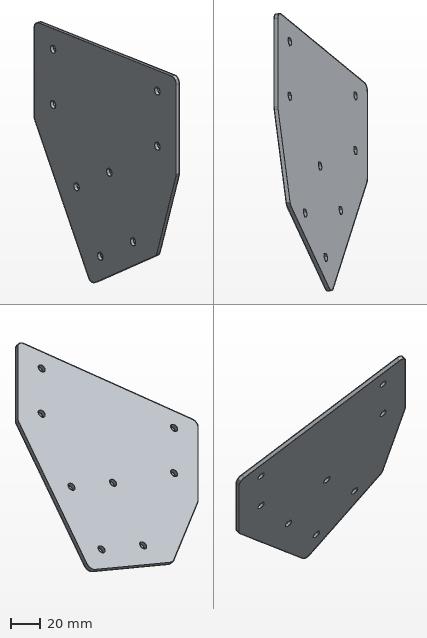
import cadquery as cq
import math

height = 172.1
width = 150.0
thickness = 3.0
corner_radius = 5.0
hole_diameter = 5.5
hole_pitch = 40.0
end_margin = 15.0
side_margin = 20.0
lower_row_spacing = 50.0
arm_tilt = math.radians(30)
arm_hole_x = 4.3
right_bend_z = -70.5

half_width = width / 2
arm_end = lower_row_spacing + end_margin
arm_left = -hole_pitch - side_margin

across_x, across_z = math.cos(arm_tilt), math.sin(arm_tilt)
down_x, down_z = math.sin(arm_tilt), -math.cos(arm_tilt)

tip_centre_drop = -(arm_left + corner_radius) * across_z - (arm_end - corner_radius) * down_z
arm_hole_z = -height + corner_radius + tip_centre_drop


def arm_point(across, down):
    """Point offset from the upper right arm hole along the arm's own directions."""
    return (
        arm_hole_x + across * across_x + down * down_x,
        arm_hole_z + across * across_z + down * down_z,
    )


shoulder = arm_point(side_margin, arm_end)
tip_x, tip_z = arm_point(arm_left, arm_end)
left_bend_z = tip_z + (tip_x + half_width) / math.tan(arm_tilt)
outline = [
    (-half_width, 0),
    (half_width, 0),
    (half_width, right_bend_z),
    shoulder,
    (tip_x, tip_z),
    (-half_width, left_bend_z),
]

plate = cq.Workplane("XZ").polyline(outline).close().extrude(-thickness)
plate = plate.edges("|Y").fillet(corner_radius)

upper_hole_x = half_width - side_margin
upper_holes = [
    (side * upper_hole_x, -end_margin - row * hole_pitch)
    for side in (-1, 1)
    for row in (0, 1)
]
arm_holes = [
    arm_point(-column * hole_pitch, row * lower_row_spacing)
    for column in (0, 1)
    for row in (0, 1)
]
drills = (
    cq.Workplane("XZ")
    .pushPoints(upper_holes + arm_holes)
    .circle(hole_diameter / 2)
    .extrude(-thickness)
)

result = plate.cut(drills)